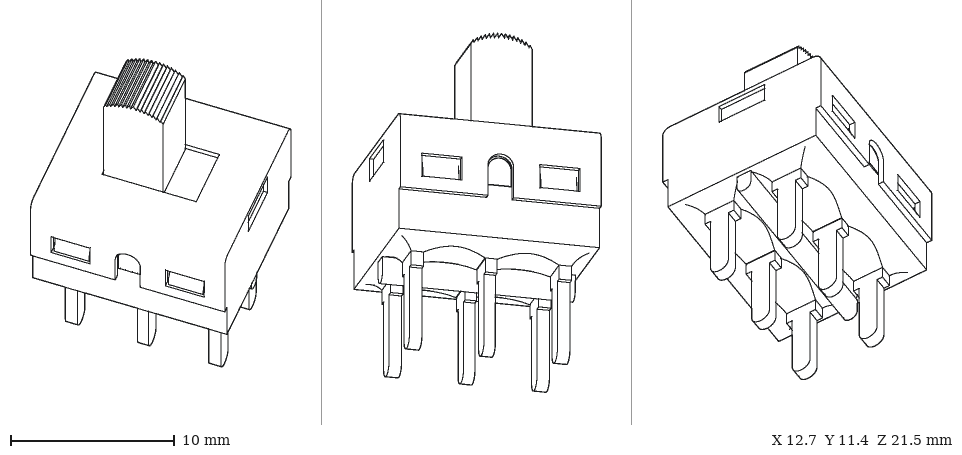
import cadquery as cq
import math

overall_height = 21.46
pin_tip_z = -6.65
handle_top_z = overall_height + pin_tip_z
cover_top_z = 7.55
cover_skirt_z = 2.58

length = 12.7
cover_width = 11.43
sheet = 0.37
bend_radius = 0.55
inner_bend_radius = bend_radius - sheet
body_width = cover_width - 2 * sheet
body_top_z = cover_top_z - sheet

window_x = 3.73
window_length = 2.54
window_bottom_z = 3.42
window_top_z = 4.92
wedge_length = 2.28
wedge_top_z = 4.45
wedge_edge_z = 3.74
wedge_reach = 0.2

notch_width = 1.62
notch_top_z = 5.36
key_width = 1.46
key_top_z = 5.22
key_reach = 0.08

end_recess_width = 3.3
end_recess_height = 1.47
end_recess_depth = 0.27

slot_length = 6.15
slot_width = 4.0
handle_width = 3.85
handle_length = 3.88
handle_x = -1.06
tooth_count_per_side = 7
tooth_pitch = handle_length / (2 * tooth_count_per_side + 1)
tooth_lean = 0.06
crest_radius = 3.0
root_radius = 3.6
root_depth = 0.3

pin_pitch = 4.68
row_y = 2.42
outer_pin_thickness = 0.8
centre_pin_thickness = 0.73
pin_width = 1.29
shoulder_width = 2.08
shoulder_z = -1.56

rib_length = 12.2
rib_width = 0.98
rib_z = shoulder_z

resin_radius = 1.2
resin_depth = 0.64
resin_saddle_depth = 0.22
resin_flare = math.sqrt(resin_radius ** 2 - (resin_radius - resin_depth) ** 2)
resin_half_width = shoulder_width / 2 + resin_flare
resin_half_length = pin_pitch + outer_pin_thickness / 2 + resin_flare


def block(x_size, y_size, z_low, z_high, x=0, y=0):
    """Box centred on (x, y) between two levels."""
    box = cq.Workplane("XY").box(x_size, y_size, z_high - z_low, centered=(True, True, False))
    return box.translate((x, y, z_low))


def arch(width, z_low, z_top, y_from, y_to):
    """Upright slab with a half-round top, lying between two Y planes."""
    radius = width / 2
    outline = (
        cq.Workplane("XZ", origin=(0, y_to, 0))
        .moveTo(-radius, z_low)
        .lineTo(-radius, z_top - radius)
        .threePointArc((0, z_top), (radius, z_top - radius))
        .lineTo(radius, z_low)
        .close()
    )
    return outline.extrude(y_to - y_from)


def round_ended_blade(thickness, width, z_tip, x=0, y=0):
    """Flat blade hanging from Z = 0 whose lower end is fully rounded across its width."""
    radius = width / 2
    outline = (
        cq.Workplane("YZ", origin=(x - thickness / 2, y, 0))
        .moveTo(-radius, 0)
        .lineTo(-radius, z_tip + radius)
        .threePointArc((0, z_tip), (radius, z_tip + radius))
        .lineTo(radius, 0)
        .close()
    )
    return outline.extrude(thickness)


def both_sides(front):
    """A feature on the -Y side together with its mirror image on the +Y side."""
    return front.union(front.mirror("XZ"))


def make_wedge(x):
    """Latch wedge on the -Y face of the body, sloping outward and down."""
    face_y = -body_width / 2
    edge_y = face_y - wedge_reach
    return (
        cq.Workplane("YZ", origin=(x - wedge_length / 2, 0, 0))
        .polyline([
            (face_y, wedge_top_z),
            (edge_y, wedge_edge_z),
            (edge_y, window_bottom_z),
            (face_y, window_bottom_z),
        ])
        .close()
        .extrude(wedge_length)
    )


def make_body():
    body = block(length, body_width, 0, body_top_z)
    body = body.edges("|X and >Z").fillet(inner_bend_radius)
    for side in (-1, 1):
        recess_x = side * (length - end_recess_depth) / 2
        recess_z = body_top_z - end_recess_height
        body = body.cut(block(end_recess_depth, end_recess_width, recess_z, body_top_z, x=recess_x))
        body = body.union(both_sides(make_wedge(side * window_x)))
    face_y = -body_width / 2
    key = arch(key_width, window_bottom_z, key_top_z, face_y - key_reach, face_y)
    return body.union(both_sides(key))


def make_cover():
    cover = block(length, cover_width, cover_skirt_z, cover_top_z)
    cover = cover.edges("|X and >Z").fillet(bend_radius)
    inside = block(length, body_width, cover_skirt_z, body_top_z)
    cover = cover.cut(inside.edges("|X and >Z").fillet(inner_bend_radius))
    cover = cover.cut(block(slot_length, slot_width, body_top_z, cover_top_z))
    for x in (-window_x, window_x):
        cover = cover.cut(block(window_length, cover_width, window_bottom_z, window_top_z, x=x))
    return cover.cut(arch(notch_width, cover_skirt_z, notch_top_z, -cover_width / 2, cover_width / 2))


def drop(radius, distance):
    """How far an arc falls below its apex at a distance from its centre line."""
    return radius - math.sqrt(radius ** 2 - distance ** 2)


def make_handle():
    """Handle with a crowned, serrated top; the teeth lean toward the middle from both sides."""
    half_length = handle_length / 2
    right_teeth = []
    for index in range(tooth_count_per_side):
        root = (index + 0.5) * tooth_pitch + tooth_lean
        crest = root + tooth_lean
        right_teeth.append((root, handle_top_z - root_depth - drop(root_radius, root)))
        right_teeth.append((crest, handle_top_z - drop(crest_radius, crest)))
    right_teeth.append((half_length, handle_top_z - root_depth - drop(root_radius, half_length)))
    left_teeth = [(-x, z) for x, z in reversed(right_teeth)]
    outline = [(-half_length, body_top_z)] + left_teeth + [(0, handle_top_z)]
    outline += right_teeth + [(half_length, body_top_z)]
    handle = cq.Workplane("XZ").polyline(outline).close().extrude(handle_width / 2, both=True)
    return handle.translate((handle_x, 0, 0))


def make_pin(x, y):
    thickness = outer_pin_thickness if x else centre_pin_thickness
    shoulder = block(thickness, shoulder_width, shoulder_z, 0, x=x, y=y)
    return shoulder.union(round_ended_blade(thickness, pin_width, pin_tip_z, x, y))


def make_resin(y):
    """Resin along one pin row: the overlap of its lengthwise and crosswise profiles."""
    half_flare = resin_flare / 2
    flare_depth = drop(resin_radius, half_flare)
    half_pin = outer_pin_thickness / 2
    outer_face = pin_pitch + half_pin
    lengthwise = (
        cq.Workplane("XZ")
        .moveTo(-resin_half_length, 0)
        .threePointArc((-resin_half_length + half_flare, -flare_depth), (-outer_face, -resin_depth))
        .lineTo(-pin_pitch + half_pin, -resin_depth)
        .threePointArc((-pin_pitch / 2, -resin_saddle_depth), (-half_pin, -resin_depth))
        .lineTo(half_pin, -resin_depth)
        .threePointArc((pin_pitch / 2, -resin_saddle_depth), (pin_pitch - half_pin, -resin_depth))
        .lineTo(outer_face, -resin_depth)
        .threePointArc((resin_half_length - half_flare, -flare_depth), (resin_half_length, 0))
        .close()
        .extrude(resin_half_width, both=True)
    )
    shoulder_face = shoulder_width / 2
    crosswise = (
        cq.Workplane("YZ")
        .moveTo(-resin_half_width, 0)
        .threePointArc((-resin_half_width + half_flare, -flare_depth), (-shoulder_face, -resin_depth))
        .lineTo(shoulder_face, -resin_depth)
        .threePointArc((resin_half_width - half_flare, -flare_depth), (resin_half_width, 0))
        .close()
        .extrude(resin_half_length, both=True)
    )
    return lengthwise.intersect(crosswise).translate((0, y, 0))


result = make_body().union(round_ended_blade(rib_length, rib_width, rib_z))
for pin_row_y in (-row_y, row_y):
    result = result.union(make_resin(pin_row_y))
    for pin_x in (-pin_pitch, 0, pin_pitch):
        result = result.union(make_pin(pin_x, pin_row_y))
result = result.union(make_handle())
result = result.union(make_cover(), clean=False)